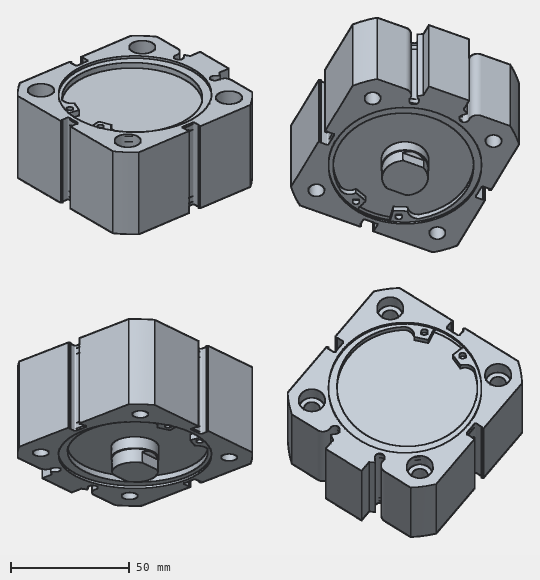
import cadquery as cq
import math


BODY_WIDTH = 77.5
BODY_HEIGHT = 40.0
TOTAL_HEIGHT = 48.0
HALF_WIDTH = BODY_WIDTH / 2
CORNER_RADIUS = 49.6
BORE_RADIUS = 32.4
TOTAL_DEPTH = 83.0

HOLE_SPACING = 56.35
HOLE_DIAMETER = 6.8
COUNTERBORE_DIAMETER = 11.1
COUNTERBORE_DEPTH = 7.0

SLOT_MOUTH = 5.5
SLOT_WIDTH = 6.6
SLOT_DEPTH = 4.5
SLOT_LIP = 0.9
SLOT_CORNER = 0.6
MOUTH_CHAMFER = 0.3

BOSS_HALF_WIDTH = 9.4
BOSS_TOP = TOTAL_DEPTH - HALF_WIDTH
UNDERCUT_X = 11.7
UNDERCUT_Y = 34.4
UNDERCUT_RADIUS = 2.1
BARB_TIP_Y = 37.4
BARB_ROOT_ANGLE = 60.0
SHOULDER_RADIUS = 3.7

GROOVE_RADIUS = 34.0
GROOVE_INSET = 1.2
RING_THICKNESS = 2.65
RING_INNER_RADIUS = 29.7
RING_INNER_OFFSET = 1.6
LUG_NECK_X = 18.4
LUG_NECK_MIDDLE = (15.35, -25.6)
LUG_SHOULDER = (12.0, -23.3)
LUG_TIP = (6.4, -25.6)
LUG_SIDE_SLOPE = 0.21
LUG_HOLE = (10.0, -27.7)
LUG_HOLE_DIAMETER = 2.9

COVER_INSET = GROOVE_INSET + RING_THICKNESS
COVER_THICKNESS = 8.0
STROKE = 5.0

ROD_RADIUS = 10.05
ROD_PROJECTION = TOTAL_HEIGHT - BODY_HEIGHT
COLLAR_LENGTH = 1.5
NECK_RADIUS = 9.8
NECK_TOP = -COLLAR_LENGTH - (ROD_RADIUS - NECK_RADIUS)
FLAT_HALF_WIDTH = 8.5
TIP_CHAMFER = 0.2
TIP_CHAMFER_LENGTH = 0.5


def disc(radius, z_bottom, height):
    return cq.Workplane("XY").workplane(offset=z_bottom).circle(radius).extrude(height)


def sensor_slot():
    """Slot opening towards -Y, made once and turned about the bore axis for each side."""
    mouth = SLOT_MOUTH / 2
    face = -HALF_WIDTH
    floor_height = SLOT_DEPTH - SLOT_LIP
    channel = (
        cq.Workplane("XY")
        .center(0, face + SLOT_LIP + floor_height / 2)
        .rect(SLOT_WIDTH, floor_height)
        .extrude(BODY_HEIGHT)
        .edges("|Z and >Y")
        .fillet(SLOT_CORNER)
    )
    opening = (
        cq.Workplane("XY")
        .moveTo(-mouth - MOUTH_CHAMFER, face)
        .lineTo(-mouth, face + MOUTH_CHAMFER)
        .lineTo(-mouth, face + SLOT_LIP)
        .lineTo(mouth, face + SLOT_LIP)
        .lineTo(mouth, face + MOUTH_CHAMFER)
        .lineTo(mouth + MOUTH_CHAMFER, face)
        .close()
        .extrude(BODY_HEIGHT)
    )
    return channel.union(opening)


def boss_undercut():
    """Groove between the +X flank of the port boss and the shoulder of the housing."""
    angle = math.radians(180 - BARB_ROOT_ANGLE)
    root_x = UNDERCUT_X + UNDERCUT_RADIUS * math.cos(angle)
    root_y = UNDERCUT_Y + UNDERCUT_RADIUS * math.sin(angle)
    wall_x = UNDERCUT_X + UNDERCUT_RADIUS
    shoulder_x = wall_x + SHOULDER_RADIUS
    shoulder_y = HALF_WIDTH - SHOULDER_RADIUS
    arc_run = SHOULDER_RADIUS * math.sqrt(0.5)
    return (
        cq.Workplane("XY")
        .moveTo(BOSS_HALF_WIDTH, HALF_WIDTH)
        .lineTo(UNDERCUT_X, BARB_TIP_Y)
        .lineTo(root_x, root_y)
        .threePointArc((UNDERCUT_X, UNDERCUT_Y - UNDERCUT_RADIUS), (wall_x, UNDERCUT_Y))
        .lineTo(wall_x, shoulder_y)
        .threePointArc((shoulder_x - arc_run, shoulder_y + arc_run), (shoulder_x, HALF_WIDTH))
        .close()
        .extrude(BODY_HEIGHT)
    )


def make_housing():
    block = cq.Workplane("XY").rect(BODY_WIDTH, BODY_WIDTH).extrude(BODY_HEIGHT)
    block = block.intersect(disc(CORNER_RADIUS, 0, BODY_HEIGHT))

    boss_height = BOSS_TOP - BORE_RADIUS
    boss = (
        cq.Workplane("XY")
        .center(0, BORE_RADIUS + boss_height / 2)
        .rect(2 * BOSS_HALF_WIDTH, boss_height)
        .extrude(BODY_HEIGHT)
    )
    undercut = boss_undercut()
    housing = block.union(boss).cut(undercut).cut(undercut.mirror("YZ"))

    for turn in (-90, 0, 90):
        housing = housing.cut(sensor_slot().rotate((0, 0, 0), (0, 0, 1), turn))

    housing = (
        housing.faces(">Z")
        .workplane(origin=(0, 0, BODY_HEIGHT))
        .rect(HOLE_SPACING, HOLE_SPACING, forConstruction=True)
        .vertices()
        .cboreHole(HOLE_DIAMETER, COUNTERBORE_DIAMETER, COUNTERBORE_DEPTH)
    )

    housing = housing.cut(disc(BORE_RADIUS, 0, BODY_HEIGHT))
    for groove_bottom in (GROOVE_INSET, BODY_HEIGHT - COVER_INSET):
        housing = housing.cut(disc(GROOVE_RADIUS, groove_bottom, RING_THICKNESS))
    return housing


def make_retaining_ring(z_bottom):
    """Ring with two drilled lugs beside the opening on its -Y side."""
    def mirrored(point):
        return (-point[0], point[1])

    neck_drop = math.sqrt(RING_INNER_RADIUS**2 - LUG_NECK_X**2)
    neck = (LUG_NECK_X, -RING_INNER_OFFSET - neck_drop)
    inner_top = (0, RING_INNER_RADIUS - RING_INNER_OFFSET)
    end_y = -GROOVE_RADIUS
    end = (LUG_TIP[0] + LUG_SIDE_SLOPE * (LUG_TIP[1] - end_y), end_y)

    opening = (
        cq.Workplane("XY")
        .workplane(offset=z_bottom)
        .moveTo(*end)
        .lineTo(*LUG_TIP)
        .lineTo(*LUG_SHOULDER)
        .threePointArc(LUG_NECK_MIDDLE, neck)
        .threePointArc(inner_top, mirrored(neck))
        .threePointArc(mirrored(LUG_NECK_MIDDLE), mirrored(LUG_SHOULDER))
        .lineTo(*mirrored(LUG_TIP))
        .lineTo(*mirrored(end))
        .close()
        .extrude(RING_THICKNESS)
    )
    lug_holes = (
        cq.Workplane("XY")
        .workplane(offset=z_bottom)
        .pushPoints([LUG_HOLE, mirrored(LUG_HOLE)])
        .circle(LUG_HOLE_DIAMETER / 2)
        .extrude(RING_THICKNESS)
    )
    return disc(GROOVE_RADIUS, z_bottom, RING_THICKNESS).cut(opening).cut(lug_holes)


def make_head_cover():
    return disc(BORE_RADIUS, BODY_HEIGHT - COVER_INSET - COVER_THICKNESS, COVER_THICKNESS)


def make_rod_cover():
    cover = disc(BORE_RADIUS, COVER_INSET, COVER_THICKNESS)
    return cover.cut(disc(ROD_RADIUS, COVER_INSET, COVER_THICKNESS))


def wrench_flat():
    """Cut for the -Y flat: it starts at the top of the neck with a 45 degree run-out."""
    flat_top = NECK_TOP - (NECK_RADIUS - FLAT_HALF_WIDTH)
    return (
        cq.Workplane("YZ")
        .moveTo(-NECK_RADIUS, NECK_TOP)
        .lineTo(-FLAT_HALF_WIDTH, flat_top)
        .lineTo(-FLAT_HALF_WIDTH, -ROD_PROJECTION)
        .lineTo(-NECK_RADIUS, -ROD_PROJECTION)
        .close()
        .extrude(NECK_RADIUS, both=True)
    )


def make_piston_rod():
    """Piston resting against the head cover, with the rod passing through the rod cover."""
    piston_top = BODY_HEIGHT - COVER_INSET - COVER_THICKNESS
    piston_bottom = COVER_INSET + COVER_THICKNESS + STROKE
    rod = (
        cq.Workplane("XZ")
        .moveTo(0, piston_top)
        .lineTo(BORE_RADIUS, piston_top)
        .lineTo(BORE_RADIUS, piston_bottom)
        .lineTo(ROD_RADIUS, piston_bottom)
        .lineTo(ROD_RADIUS, -COLLAR_LENGTH)
        .lineTo(NECK_RADIUS, NECK_TOP)
        .lineTo(NECK_RADIUS, TIP_CHAMFER_LENGTH - ROD_PROJECTION)
        .lineTo(NECK_RADIUS - TIP_CHAMFER, -ROD_PROJECTION)
        .lineTo(0, -ROD_PROJECTION)
        .close()
        .revolve(360, (0, 0, 0), (0, 1, 0))
    )
    flat = wrench_flat()
    return rod.cut(flat).cut(flat.mirror("XZ"))


housing = make_housing()
head_cover = make_head_cover()
rod_cover = make_rod_cover()
piston_rod = make_piston_rod()
retaining_rings = [make_retaining_ring(z) for z in (GROOVE_INSET, BODY_HEIGHT - COVER_INSET)]

result = cq.Compound.makeCompound(
    [
        housing.val(),
        head_cover.val(),
        rod_cover.val(),
        piston_rod.val(),
        *[ring.val() for ring in retaining_rings],
    ]
)